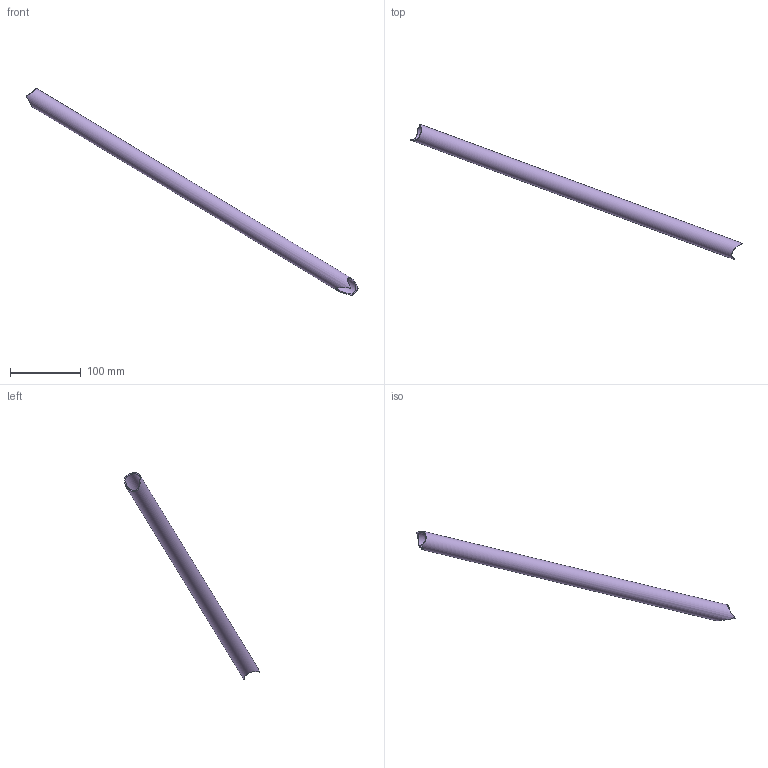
import cadquery as cq
import math

TUBE_RADIUS = 12.7
WALL = 1.5
AXIS_DIRECTION = cq.Vector(1.0, -0.3683, -0.6022).normalized()
AXIS_POINT = cq.Vector(-0.87, 0.57, -0.49)
BLANK_HALF_LENGTH = 320.0

CUTTER_RADIUS = 13.0
CUTTER_HALF_LENGTH = 60.0

UPPER_CUTTERS = [
    (-283.88, -0.91, cq.Vector(0.230, 0.144, 0.963)),
    (-284.59, 0.41, cq.Vector(0.045, 0.654, -0.755)),
]
LOWER_CUTTERS = [
    (286.50, -1.05, cq.Vector(-0.068, -0.244, 0.967)),
    (290.70, 0.0, cq.Vector(0.990, -0.009, 0.143)),
]


def rod(middle, direction, radius, half_length):
    """Solid round bar centred on a point."""
    start = middle - direction * half_length
    return cq.Solid.makeCylinder(radius, 2 * half_length, start, direction)


def cutter_middle(station, offset, direction):
    """Point where a cutter axis passes closest to the main axis."""
    sideways = AXIS_DIRECTION.cross(direction).normalized()
    return AXIS_POINT + AXIS_DIRECTION * station + sideways * offset


def tube_blank():
    outer = rod(AXIS_POINT, AXIS_DIRECTION, TUBE_RADIUS, BLANK_HALF_LENGTH)
    bore = rod(AXIS_POINT, AXIS_DIRECTION, TUBE_RADIUS - WALL, BLANK_HALF_LENGTH)
    return outer.cut(bore)


def coped_tube():
    """Tube with both ends coped; the middle piece is kept and the offcuts are dropped."""
    tube = tube_blank()
    for station, offset, direction in UPPER_CUTTERS + LOWER_CUTTERS:
        unit = direction.normalized()
        middle = cutter_middle(station, offset, unit)
        tube = tube.cut(rod(middle, unit, CUTTER_RADIUS, CUTTER_HALF_LENGTH))
    return max(tube.Solids(), key=lambda solid: solid.Volume())


result = cq.Workplane(obj=coped_tube())